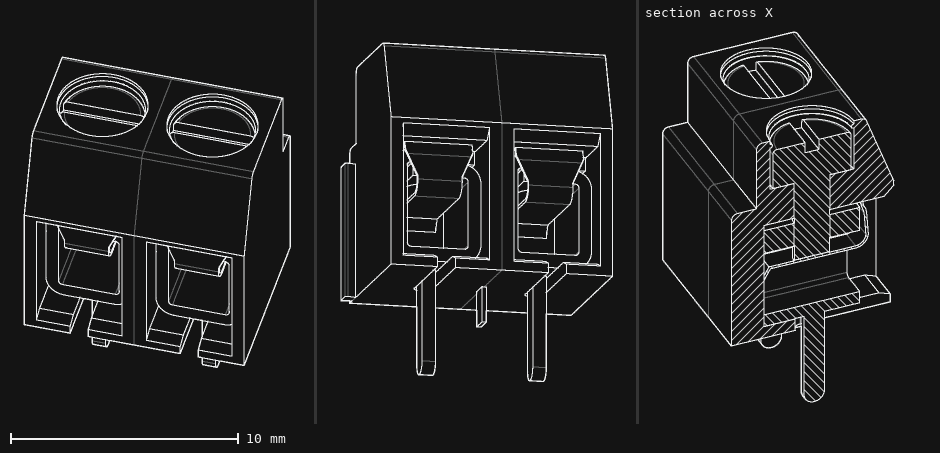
import cadquery as cq
import math


housing_width = 10.0
pitch = housing_width / 2
pole_centres = [-pitch / 2, pitch / 2]

overall_height = 14.3
depth = 7.8
height = 10.31
front_height = 6.64
slope_run = 1.37
upper_back_y = 6.59
step_height = 6.92
edge_radius = 0.29

chamber_half_width = 1.95
floor_z = 0.63
ceiling_z = 5.92
mouth_bottom_z = 0.43
mouth_floor_run = 0.55
mouth_ceiling_rise = 0.47

sheet = 0.61
cage_front_y = 1.65
cage_top_z = 5.68
cage_inner_half_width = 1.37
cage_outer_radius = 0.83
cage_inner_radius = 0.17
top_strip_end_x = 1.66
under_strip_end_x = -1.12

pin_y = 3.82
pin_depth = 1.0
pin_length = overall_height - height
slot_width = 0.82

screw_y = 3.93
head_radius = 1.89
head_height = 2.0
head_sink = 0.53
head_edge_radius = 0.21
driver_slot_width = 0.66
driver_slot_depth = 0.53
shank_radius = 0.86
bore_radius = 2.0
lip_depth = 0.17
lip_radius = bore_radius - head_radius

guard_thickness = 0.15
guard_top_half_width = 1.52
guard_leg_half_width = 1.0
taper_top_z = 5.5
taper_bottom_z = 4.36
guard_top_y = 1.49
guard_shoulder_y = 1.3
guard_shoulder_z = 5.33
guard_front_y = 1.22
leg_z = 3.56
leg_bend_radius = 0.63
leg_end_z = 3.03
leg_drop_angle = 60.0

rail_y = 6.96
rail_height = 6.0
rail_reach = 0.5
rail_outer_width = 1.0
rail_root_width = 0.66
rail_corner_radius = 0.09
rib_width = 0.2
rib_length = 1.59

cage_depth = 2 * (screw_y - cage_front_y)
cage_back_y = cage_front_y + cage_depth
head_top_z = height - head_sink
head_bottom_z = head_top_z - head_height
leg_top_z = leg_z + guard_thickness


def block(x_range, y_range, z_range):
    """Box between the given limits."""
    size = [high - low for low, high in (x_range, y_range, z_range)]
    low_corner = (x_range[0], y_range[0], z_range[0])
    return cq.Workplane("XY").box(*size, centered=False).translate(low_corner)


def extrude_across(profile, half_width):
    """Extrude a YZ profile symmetrically along X."""
    return profile.extrude(2 * half_width).translate((-half_width, 0, 0))


def upright_cylinder(radius, bottom_z, top_z):
    """Cylinder on the screw axis."""
    base = cq.Workplane("XY", origin=(0, screw_y, bottom_z))
    return base.circle(radius).extrude(top_z - bottom_z)


def pole_shell():
    """Solid outer shape of one pole, with its long top edges rounded."""
    profile = cq.Workplane("YZ").polyline([
        (0, 0),
        (0, front_height),
        (slope_run, height),
        (upper_back_y, height),
        (upper_back_y, step_height),
        (depth, step_height),
        (depth, 0),
    ]).close()
    shell = extrude_across(profile, pitch / 2)
    rounded_edges = [(slope_run, height), (upper_back_y, height), (depth, step_height)]
    for y, z in rounded_edges:
        shell = shell.edges(cq.NearestToPointSelector((0, y, z))).fillet(edge_radius)
    return shell


def wire_chamber():
    """Chamber with sloped lead-ins at its mouth."""
    profile = cq.Workplane("YZ").polyline([
        (0, mouth_bottom_z),
        (mouth_floor_run, floor_z),
        (cage_back_y, floor_z),
        (cage_back_y, ceiling_z),
        (mouth_ceiling_rise, ceiling_z),
        (0, ceiling_z + mouth_ceiling_rise),
    ]).close()
    return extrude_across(profile, chamber_half_width)


def floor_slot():
    """Slot through the floor, open at the front, with a round end behind the pin."""
    slot_end_y = pin_y + pin_depth / 2
    straight = block((-slot_width / 2, slot_width / 2), (0, slot_end_y), (0, floor_z))
    round_end = cq.Workplane("XY", origin=(0, slot_end_y, 0)).circle(slot_width / 2).extrude(floor_z)
    return straight.union(round_end)


def screw_bore():
    """Head bore, half-round lip near its top and shank hole, as one turned shape."""
    lip_top_z = height - lip_depth
    section = (
        cq.Workplane("XZ")
        .moveTo(0, height)
        .lineTo(bore_radius, height)
        .lineTo(bore_radius, lip_top_z)
        .threePointArc(
            (head_radius, lip_top_z - lip_radius),
            (bore_radius, lip_top_z - 2 * lip_radius),
        )
        .lineTo(bore_radius, head_bottom_z)
        .lineTo(shank_radius, head_bottom_z)
        .lineTo(shank_radius, ceiling_z)
        .lineTo(0, ceiling_z)
        .close()
    )
    return section.revolve(360, (0, 0, 0), (0, 1, 0)).translate((0, screw_y, 0))


def make_pole():
    """One pole of the housing, centred on X = 0."""
    return pole_shell().cut(wire_chamber()).cut(floor_slot()).cut(screw_bore())


def side_rail():
    """Dovetail rail on the -X side."""
    root_x = -pitch
    outer_x = root_x - rail_reach
    rail = cq.Workplane("XY").polyline([
        (root_x, rail_y - rail_root_width / 2),
        (outer_x, rail_y - rail_outer_width / 2),
        (outer_x, rail_y + rail_outer_width / 2),
        (root_x, rail_y + rail_root_width / 2),
    ]).close().extrude(rail_height)
    return rail.edges("|Z and <X").fillet(rail_corner_radius)


def underside_rib():
    """Thin rib below the line where the poles meet."""
    return block(
        (-rib_width / 2, rib_width / 2),
        (pin_y - pin_depth / 2, pin_y + pin_depth / 2),
        (-rib_length, 0),
    )


def make_housing():
    """One-piece housing; the faces of the two poles stay separate where they meet."""
    pole = make_pole()
    left_pole, right_pole = [pole.translate((x, 0, 0)) for x in pole_centres]
    housing = left_pole.union(right_pole, clean=False)
    return housing.union(side_rail(), clean=False).union(underside_rib(), clean=False)


def cage_plate(x_range, z_range):
    """Plate as deep as the cage."""
    return block(x_range, (cage_front_y, cage_back_y), z_range)


def cage_loop(top_z, right_x):
    """Closed rectangular loop of strip with rounded corners, from the left wall to right_x."""
    side = chamber_half_width - cage_inner_half_width
    outer = cage_plate((-chamber_half_width, right_x), (floor_z, top_z))
    inner = cage_plate((-cage_inner_half_width, right_x - side), (floor_z + sheet, top_z - sheet))
    outer = outer.edges("|Y").fillet(cage_outer_radius)
    inner = inner.edges("|Y").fillet(cage_inner_radius)
    return outer.cut(inner)


def solder_pin():
    """Flat pin with a half-round tip, hanging from the cage floor."""
    front_y = pin_y - pin_depth / 2
    back_y = pin_y + pin_depth / 2
    round_start_z = pin_depth / 2 - pin_length
    profile = (
        cq.Workplane("YZ")
        .moveTo(front_y, floor_z)
        .lineTo(front_y, round_start_z)
        .threePointArc((pin_y, -pin_length), (back_y, round_start_z))
        .lineTo(back_y, floor_z)
        .close()
    )
    return extrude_across(profile, sheet / 2)


def make_cage():
    """Strip bent into a cage whose ends overlap under the screw, with a solder pin below."""
    under_strip_top_z = cage_top_z - sheet
    split_z = under_strip_top_z - sheet - cage_inner_radius

    tall_loop = cage_loop(cage_top_z, top_strip_end_x + cage_outer_radius)
    tall_side = tall_loop.intersect(
        cage_plate((-chamber_half_width, top_strip_end_x), (split_z, cage_top_z))
    )
    low_loop = cage_loop(under_strip_top_z, chamber_half_width).cut(
        cage_plate((-chamber_half_width, under_strip_end_x), (split_z, cage_top_z))
    )
    cage = low_loop.union(tall_side)

    cage = cage.union(solder_pin())
    screw_hole = upright_cylinder(shank_radius, split_z, cage_top_z)
    return cage.cut(screw_hole)


def make_screw():
    """Slotted screw whose shank ends on the guard leg."""
    head = upright_cylinder(head_radius, head_bottom_z, head_top_z)
    head = head.faces(">Z").edges().fillet(head_edge_radius)
    driver_slot = block(
        (-head_radius, head_radius),
        (screw_y - driver_slot_width / 2, screw_y + driver_slot_width / 2),
        (head_top_z - driver_slot_depth, head_top_z),
    )
    shank = upright_cylinder(shank_radius, leg_top_z, head_bottom_z)
    return head.cut(driver_slot).union(shank)


def guard_strip():
    """Bent strip of full width: curved top, front plate, leg and turned-down end."""
    downward = (0, -1)

    bend_y = guard_front_y + leg_bend_radius
    bend_z = leg_z + leg_bend_radius
    inner_bend_radius = leg_bend_radius - guard_thickness
    diagonal = math.sqrt(0.5)

    drop_run = (leg_z - leg_end_z) / math.tan(math.radians(leg_drop_angle))
    drop_y = cage_back_y - drop_run
    drop_end_rise = guard_thickness / math.cos(math.radians(leg_drop_angle))
    corner_shift = guard_thickness * math.tan(math.radians(leg_drop_angle / 2))

    profile = (
        cq.Workplane("YZ")
        .moveTo(guard_top_y, ceiling_z)
        .spline([(guard_shoulder_y, guard_shoulder_z)], tangents=[downward, downward], includeCurrent=True)
        .lineTo(guard_front_y, bend_z)
        .threePointArc(
            (bend_y - leg_bend_radius * diagonal, bend_z - leg_bend_radius * diagonal),
            (bend_y, leg_z),
        )
        .lineTo(drop_y, leg_z)
        .lineTo(cage_back_y, leg_end_z)
        .lineTo(cage_back_y, leg_end_z + drop_end_rise)
        .lineTo(drop_y + corner_shift, leg_top_z)
        .lineTo(bend_y, leg_top_z)
        .threePointArc(
            (bend_y - inner_bend_radius * diagonal, bend_z - inner_bend_radius * diagonal),
            (guard_front_y + guard_thickness, bend_z),
        )
        .lineTo(guard_shoulder_y + guard_thickness, guard_shoulder_z)
        .lineTo(guard_top_y + guard_thickness, ceiling_z)
        .close()
    )
    return extrude_across(profile, guard_top_half_width)


def make_guard():
    """Bent strip narrowed from its wide top to its leg."""
    outline = cq.Workplane("XZ").polyline([
        (-guard_top_half_width, ceiling_z),
        (guard_top_half_width, ceiling_z),
        (guard_top_half_width, taper_top_z),
        (guard_leg_half_width, taper_bottom_z),
        (guard_leg_half_width, leg_end_z),
        (-guard_leg_half_width, leg_end_z),
        (-guard_leg_half_width, taper_bottom_z),
        (-guard_top_half_width, taper_top_z),
    ]).close().extrude(-depth)
    return guard_strip().intersect(outline)


def copies(body):
    """One separate copy of a body in each pole."""
    return [body.translate((x, 0, 0)).solids().val() for x in pole_centres]


housing = make_housing()
cages = copies(make_cage())
screws = copies(make_screw())
guards = copies(make_guard())

result = cq.Compound.makeCompound([housing.solids().val(), *cages, *screws, *guards])